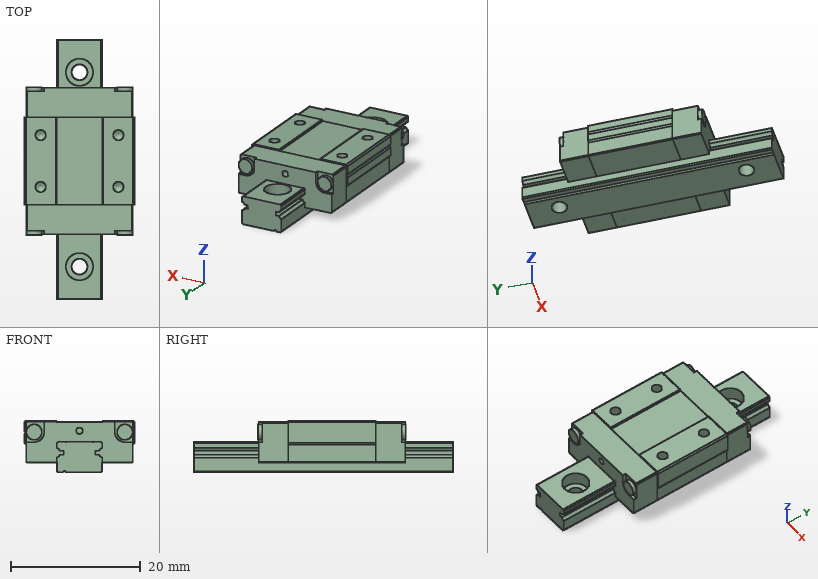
import cadquery as cq
import math


RAIL_WIDTH = 7.0
RAIL_HEIGHT = 4.7
RAIL_LENGTH = 40.0
RAIL_CHAMFER = 0.2

TRACK_Z = 3.03
TRACK_RADIUS = 0.8
TRACK_CENTRE_OFFSET = 0.28
RELIEF_HEIGHT = 0.6
RELIEF_DEPTH = 1.05
RELIEF_FILLET = 0.12

MARK_X = -2.35
MARK_DEPTH = 0.25

BOLT_HOLE_DIAMETER = 2.4
BOLT_HEAD_DIAMETER = 4.2
BOLT_HEAD_DEPTH = 2.3
BOLT_END_DISTANCE = 5.0

CARRIAGE_Y = 1.3
CARRIAGE_BOTTOM = 1.5
CARRIAGE_EDGE = 0.15

BLOCK_WIDTH = 17.0
BLOCK_LENGTH = 13.5
BLOCK_TOP = 8.0
SHOULDER_BOTTOM = 4.55
SHOULDER_CHAMFER = 0.25

CHANNEL_WIDTH = 7.3
CHANNEL_DEPTH = 0.2
CHANNEL_WALL_RUN = 0.15

DATUM_GROOVE_Z = 6.12
DATUM_GROOVE_WIDTH = 0.5
DATUM_GROOVE_DEPTH = 0.15

SCREW_SPACING_X = 12.0
SCREW_SPACING_Y = 8.0
SCREW_DIAMETER = 1.6
SCREW_DEPTH = 2.5
DRILL_POINT_ANGLE = 118.0

CAP_LENGTH = 4.57
CAP_WIDTH = BLOCK_WIDTH - 2 * SHOULDER_CHAMFER
CAP_TOP = 7.8
CAP_TOP_CHAMFER = 0.18

PLUG_X = 7.0
PLUG_Z = 6.22
PLUG_RADIUS = 1.2
PLUG_PROTRUSION = 0.1
POCKET_RADIUS = 1.55
POCKET_DEPTH = 0.55

OIL_HOLE_Z = 6.42
OIL_HOLE_DIAMETER = 1.0
OIL_HOLE_DEPTH = 2.0


def prism(points, y_start, length):
    """Closed X-Z outline extruded along +Y from y_start."""
    plane = cq.Workplane("XZ", origin=(0, y_start, 0))
    return plane.polyline(points).close().extrude(-length)


def mirrored_outline(right_side):
    """Outline from its right half, listed from bottom to top."""
    return right_side + [(-x, z) for x, z in reversed(right_side)]


def rail_bar():
    """Full-length rail profile with a ball track along each flank."""
    half = RAIL_WIDTH / 2
    y_start = -RAIL_LENGTH / 2
    right_side = [
        (half - RAIL_CHAMFER, 0),
        (half, RAIL_CHAMFER),
        (half, RAIL_HEIGHT - RAIL_CHAMFER),
        (half - RAIL_CHAMFER, RAIL_HEIGHT),
    ]
    bar = prism(mirrored_outline(right_side), y_start, RAIL_LENGTH)

    for side in (-1, 1):
        track = (
            cq.Workplane("XZ", origin=(0, y_start, 0))
            .center(side * (half + TRACK_CENTRE_OFFSET), TRACK_Z)
            .circle(TRACK_RADIUS)
            .extrude(-RAIL_LENGTH)
        )
        relief = (
            cq.Workplane("XZ", origin=(0, y_start, 0))
            .center(side * half, TRACK_Z)
            .rect(2 * RELIEF_DEPTH, RELIEF_HEIGHT)
            .extrude(-RAIL_LENGTH)
            .edges("|Y")
            .fillet(RELIEF_FILLET)
        )
        bar = bar.cut(track).cut(relief)
    return bar


def make_rail():
    mark = prism(
        [(MARK_X - MARK_DEPTH, 0), (MARK_X, MARK_DEPTH), (MARK_X + MARK_DEPTH, 0)],
        -RAIL_LENGTH / 2,
        RAIL_LENGTH,
    )
    rail = rail_bar().cut(mark)

    bolt_y = RAIL_LENGTH / 2 - BOLT_END_DISTANCE
    return (
        rail.faces(">Z")
        .workplane(origin=(0, 0, RAIL_HEIGHT))
        .pushPoints([(0, -bolt_y), (0, bolt_y)])
        .cboreHole(BOLT_HOLE_DIAMETER, BOLT_HEAD_DIAMETER, BOLT_HEAD_DEPTH)
    )


def screw_hole():
    """Blind drilled hole with a conical tip, opening at the block top."""
    radius = SCREW_DIAMETER / 2
    tip = radius / math.tan(math.radians(DRILL_POINT_ANGLE / 2))
    profile = [(0, 0), (radius, 0), (radius, -SCREW_DEPTH), (0, -SCREW_DEPTH - tip)]
    hole = cq.Workplane("XZ").polyline(profile).close().revolve(360, (0, 0), (0, 1))
    return hole.translate((0, CARRIAGE_Y, BLOCK_TOP))


def make_block():
    y_start = CARRIAGE_Y - BLOCK_LENGTH / 2
    half = BLOCK_WIDTH / 2
    neck = half - SHOULDER_CHAMFER
    right_side = [
        (neck - CARRIAGE_EDGE, CARRIAGE_BOTTOM),
        (neck, CARRIAGE_BOTTOM + CARRIAGE_EDGE),
        (neck, SHOULDER_BOTTOM - SHOULDER_CHAMFER),
        (half, SHOULDER_BOTTOM),
        (half, BLOCK_TOP - SHOULDER_CHAMFER),
        (half - SHOULDER_CHAMFER, BLOCK_TOP),
        (CHANNEL_WIDTH / 2, BLOCK_TOP),
        (CHANNEL_WIDTH / 2 - CHANNEL_WALL_RUN, BLOCK_TOP - CHANNEL_DEPTH),
    ]
    block = prism(mirrored_outline(right_side), y_start, BLOCK_LENGTH).cut(rail_bar())

    half_groove = DATUM_GROOVE_WIDTH / 2
    groove = (
        cq.Workplane("XZ", origin=(0, y_start, 0))
        .moveTo(-half, DATUM_GROOVE_Z - half_groove)
        .threePointArc(
            (-half + DATUM_GROOVE_DEPTH, DATUM_GROOVE_Z),
            (-half, DATUM_GROOVE_Z + half_groove),
        )
        .close()
        .extrude(-BLOCK_LENGTH)
    )
    block = block.cut(groove)

    for x in (-SCREW_SPACING_X / 2, SCREW_SPACING_X / 2):
        for y in (-SCREW_SPACING_Y / 2, SCREW_SPACING_Y / 2):
            block = block.cut(screw_hole().translate((x, y, 0)))
    return block


def corner_pocket(outer_y):
    """Recess in the outer upper -X corner: rounded towards the cap middle."""
    inner_x = -PLUG_X + POCKET_RADIUS
    arc_offset = POCKET_RADIUS * math.sqrt(0.5)
    return (
        cq.Workplane("XZ", origin=(0, outer_y, 0))
        .moveTo(-CAP_WIDTH / 2, CAP_TOP)
        .lineTo(inner_x, CAP_TOP)
        .lineTo(inner_x, PLUG_Z)
        .threePointArc(
            (-PLUG_X + arc_offset, PLUG_Z - arc_offset),
            (-PLUG_X, PLUG_Z - POCKET_RADIUS),
        )
        .lineTo(-CAP_WIDTH / 2, PLUG_Z - POCKET_RADIUS)
        .close()
        .extrude(-POCKET_DEPTH)
    )


def round_plug(outer_y):
    """Round boss standing on the pocket floor, slightly proud of the cap face."""
    return (
        cq.Workplane("XZ", origin=(-PLUG_X, outer_y - PLUG_PROTRUSION, PLUG_Z))
        .circle(PLUG_RADIUS)
        .extrude(-(POCKET_DEPTH + PLUG_PROTRUSION))
    )


def make_front_cap():
    outer_y = CARRIAGE_Y - BLOCK_LENGTH / 2 - CAP_LENGTH
    half = CAP_WIDTH / 2
    right_side = [
        (half - CARRIAGE_EDGE, CARRIAGE_BOTTOM),
        (half, CARRIAGE_BOTTOM + CARRIAGE_EDGE),
        (half, CAP_TOP - CAP_TOP_CHAMFER),
        (half - CAP_TOP_CHAMFER, CAP_TOP),
    ]
    cap = prism(mirrored_outline(right_side), outer_y, CAP_LENGTH).cut(rail_bar())

    pocket = corner_pocket(outer_y)
    plug = round_plug(outer_y)
    cap = cap.cut(pocket).cut(pocket.mirror("YZ"))
    cap = cap.union(plug).union(plug.mirror("YZ"))

    oil_hole = (
        cq.Workplane("XZ", origin=(0, outer_y, OIL_HOLE_Z))
        .circle(OIL_HOLE_DIAMETER / 2)
        .extrude(-OIL_HOLE_DEPTH)
    )
    return cap.cut(oil_hole)


rail = make_rail()
block = make_block()
front_cap = make_front_cap()
rear_cap = front_cap.mirror("XZ", (0, CARRIAGE_Y, 0))

result = cq.Compound.makeCompound(
    [rail.val(), block.val(), front_cap.val(), rear_cap.val()]
)